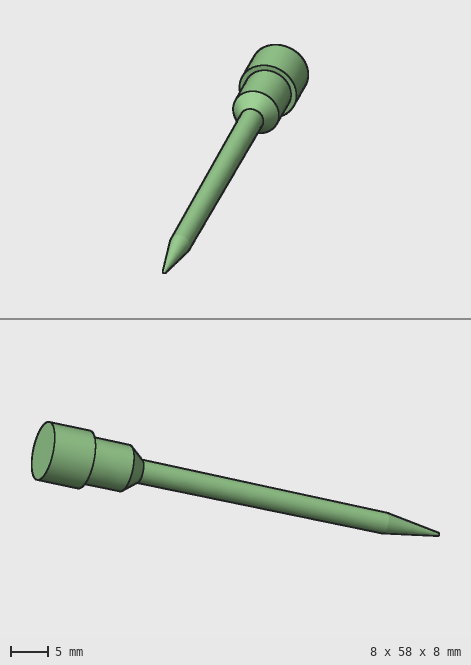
import cadquery as cq
import math

total_length = 58.0

head_length = 6.0
collar_length = 6.0
shoulder_length = 2.1
tip_length = 8.0

head_diameter = 8.0
collar_root_diameter = 6.5
collar_end_diameter = 6.45
shaft_root_diameter = 3.25
shaft_end_diameter = 2.9
tip_diameter = 0.5

head_start = total_length - head_length
collar_start = head_start - collar_length
shoulder_start = collar_start - shoulder_length

tip_radius = tip_diameter / 2
arc_middle = (tip_radius * math.sin(math.pi / 4), tip_radius * (1 - math.cos(math.pi / 4)))
flank = [
    (shaft_end_diameter / 2, tip_length),
    (shaft_root_diameter / 2, shoulder_start),
    (collar_end_diameter / 2, collar_start),
    (collar_root_diameter / 2, head_start),
    (head_diameter / 2, head_start),
    (head_diameter / 2, total_length),
    (0, total_length),
]
profile = (
    cq.Workplane("XY")
    .threePointArc(arc_middle, (tip_radius, tip_radius))
    .polyline(flank, includeCurrent=True)
    .close()
)
axis_start = (0, 0, 0)
axis_end = (0, 1, 0)
result = profile.revolve(360, axis_start, axis_end)